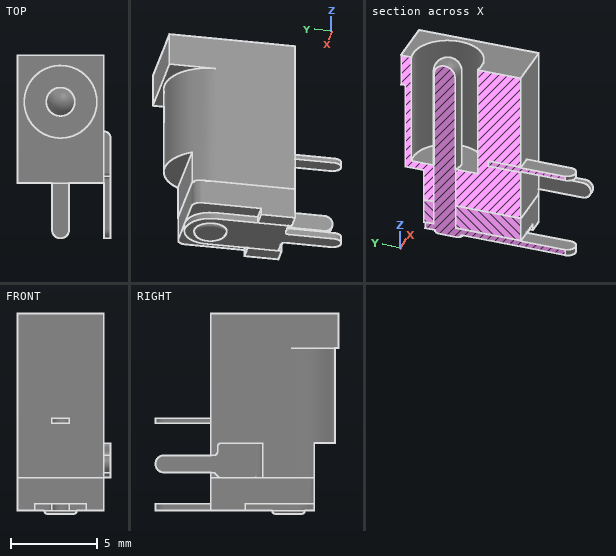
import cadquery as cq


WIDTH = 5.0
SIDE_X = WIDTH / 2
FRONT_Y = -4.7
BACK_Y = 2.7
TOP_Z = 11.4
COLLAR_HEIGHT = 2.0
COLLAR_Z = TOP_Z - COLLAR_HEIGHT
BARREL_RADIUS = WIDTH / 2
BARREL_STEP_Z = 3.9
BORE_RADIUS = 2.1
BORE_FLOOR_THICKNESS = 0.5
BORE_FLOOR_Z = BARREL_STEP_Z + BORE_FLOOR_THICKNESS

BASE_HEIGHT = 1.9
BASE_BACK_Y = 1.3
BASE_CORNER_RADIUS = 0.5
RECESS_FRONT_Y = -2.7

TAIL_WIDTH = 1.0
TAIL_TIP_RADIUS = TAIL_WIDTH / 2
TAIL_LENGTH = 3.2
TAIL_TIP_Y = FRONT_Y - TAIL_LENGTH
TAIL_FILLET = 0.2
SHEET_THICKNESS = 0.4

PIN_RADIUS = 0.825
PLATE_RADIUS = 1.5
PLATE_WIDTH = 2 * PLATE_RADIUS
PLATE_CENTER_Y = BASE_BACK_Y - PLATE_RADIUS
PLATE_FRONT_Y = FRONT_Y + TAIL_FILLET
RIVET_RADIUS = 0.95
RIVET_HEIGHT = 0.2

SLEEVE_TOP_Z = BARREL_STEP_Z
SLEEVE_BOTTOM_Z = BASE_HEIGHT
SLEEVE_BACK_Y = -1.7
SLEEVE_FRONT_Y = -4.3
SLEEVE_CORNER_RADIUS = 0.2
SLEEVE_TAIL_CENTER_Z = 2.7
SLEEVE_TAIL_TOP_Z = SLEEVE_TAIL_CENTER_Z + TAIL_WIDTH / 2
SLEEVE_TAIL_BOTTOM_Z = SLEEVE_TAIL_CENTER_Z - TAIL_WIDTH / 2
SLEEVE_CHAMFER = SLEEVE_TAIL_BOTTOM_Z - SLEEVE_BOTTOM_Z
SLEEVE_LEG_LENGTH = 1.0

SWITCH_THICKNESS = 0.3
SWITCH_BOTTOM_Z = 5.05
SWITCH_INSERTION = 2.0


def block(x_range, y_range, z_range):
    """Box spanning the given (low, high) ranges."""
    size = [high - low for low, high in (x_range, y_range, z_range)]
    corner = (x_range[0], y_range[0], z_range[0])
    return cq.Workplane("XY").box(*size, centered=False).translate(corner)


def cylinder(radius, bottom_z, top_z, center_y=0.0):
    """Upright cylinder on the X = 0 plane."""
    return cq.Workplane("XY", origin=(0, center_y, bottom_z)).circle(radius).extrude(top_z - bottom_z)


def flat_tail(root_y, bottom_z, thickness):
    """Horizontal strip from root_y to a round tip beyond the front face."""
    half_width = TAIL_WIDTH / 2
    tip_center_y = TAIL_TIP_Y + TAIL_TIP_RADIUS
    return (
        cq.Workplane("XY", origin=(0, 0, bottom_z))
        .moveTo(half_width, root_y)
        .lineTo(half_width, tip_center_y)
        .threePointArc((0, TAIL_TIP_Y), (-half_width, tip_center_y))
        .lineTo(-half_width, root_y)
        .close()
        .extrude(thickness)
    )


def make_switch_terminal():
    return flat_tail(FRONT_Y + SWITCH_INSERTION, SWITCH_BOTTOM_Z, SWITCH_THICKNESS)


def make_sleeve_terminal():
    tip_center_y = TAIL_TIP_Y + TAIL_TIP_RADIUS
    blade = (
        cq.Workplane("YZ", origin=(SIDE_X, 0, 0))
        .moveTo(SLEEVE_BACK_Y - SHEET_THICKNESS, SLEEVE_TOP_Z)
        .lineTo(SLEEVE_FRONT_Y + SLEEVE_CORNER_RADIUS, SLEEVE_TOP_Z)
        .radiusArc((SLEEVE_FRONT_Y, SLEEVE_TOP_Z - SLEEVE_CORNER_RADIUS), -SLEEVE_CORNER_RADIUS)
        .lineTo(SLEEVE_FRONT_Y, SLEEVE_TAIL_TOP_Z + TAIL_FILLET)
        .radiusArc((SLEEVE_FRONT_Y - TAIL_FILLET, SLEEVE_TAIL_TOP_Z), TAIL_FILLET)
        .lineTo(tip_center_y, SLEEVE_TAIL_TOP_Z)
        .threePointArc((TAIL_TIP_Y, SLEEVE_TAIL_CENTER_Z), (tip_center_y, SLEEVE_TAIL_BOTTOM_Z))
        .lineTo(SLEEVE_FRONT_Y - TAIL_FILLET, SLEEVE_TAIL_BOTTOM_Z)
        .lineTo(SLEEVE_FRONT_Y - TAIL_FILLET + SLEEVE_CHAMFER, SLEEVE_BOTTOM_Z)
        .lineTo(SLEEVE_BACK_Y - SHEET_THICKNESS, SLEEVE_BOTTOM_Z)
        .close()
        .extrude(SHEET_THICKNESS)
    )
    bend_center_y = SLEEVE_BACK_Y - SHEET_THICKNESS
    leg = (
        cq.Workplane("XY", origin=(0, 0, SLEEVE_BOTTOM_Z))
        .moveTo(SIDE_X - SLEEVE_LEG_LENGTH, bend_center_y)
        .lineTo(SIDE_X + SHEET_THICKNESS, bend_center_y)
        .radiusArc((SIDE_X, SLEEVE_BACK_Y), -SHEET_THICKNESS)
        .lineTo(SIDE_X - SLEEVE_LEG_LENGTH, SLEEVE_BACK_Y)
        .close()
        .extrude(SLEEVE_TOP_Z - SLEEVE_BOTTOM_Z)
    )
    return blade.union(leg)


def make_center_contact():
    plate = cylinder(PLATE_RADIUS, 0, SHEET_THICKNESS, PLATE_CENTER_Y).union(
        block((-PLATE_RADIUS, PLATE_RADIUS), (PLATE_FRONT_Y, PLATE_CENTER_Y), (0, SHEET_THICKNESS))
    )
    plate = plate.union(flat_tail(PLATE_CENTER_Y, 0, SHEET_THICKNESS))
    for side in (-1, 1):
        root = cq.selectors.NearestToPointSelector((side * TAIL_WIDTH / 2, PLATE_FRONT_Y, 0))
        plate = plate.edges("|Z").edges(root).fillet(TAIL_FILLET)
    rivet = (
        cq.Workplane("XZ", origin=(0, PLATE_CENTER_Y, 0))
        .lineTo(RIVET_RADIUS, 0)
        .radiusArc((RIVET_RADIUS - RIVET_HEIGHT, -RIVET_HEIGHT), RIVET_HEIGHT)
        .lineTo(0, -RIVET_HEIGHT)
        .close()
        .revolve(360, (0, 0, 0), (0, 1, 0))
    )
    tip_center_z = TOP_Z - PIN_RADIUS
    pin = cylinder(PIN_RADIUS, 0, tip_center_z)
    pin = pin.union(cq.Workplane("XY", origin=(0, 0, tip_center_z)).sphere(PIN_RADIUS))
    return plate.union(rivet).union(pin)


def make_base(center_contact):
    side = (-SIDE_X, SIDE_X)
    base = block(side, (FRONT_Y, BASE_BACK_Y), (0, BASE_HEIGHT))
    base = base.edges("|Z and >Y").fillet(BASE_CORNER_RADIUS)
    recess = block(side, (RECESS_FRONT_Y, BASE_BACK_Y), (0, SHEET_THICKNESS)).union(
        block((-PLATE_WIDTH / 2, PLATE_WIDTH / 2), (FRONT_Y, RECESS_FRONT_Y), (0, SHEET_THICKNESS))
    )
    return base.cut(recess).cut(center_contact)


def make_housing(center_contact, sleeve_terminal, switch_terminal):
    side = (-SIDE_X, SIDE_X)
    body = block(side, (FRONT_Y, 0), (BASE_HEIGHT, TOP_Z))
    barrel = cylinder(BARREL_RADIUS, BASE_HEIGHT, TOP_Z)
    step = block(side, (BASE_BACK_Y, BACK_Y), (BASE_HEIGHT, BARREL_STEP_Z))
    collar = block(side, (FRONT_Y, BACK_Y), (COLLAR_Z, TOP_Z))
    body = body.union(barrel.cut(step)).union(collar)
    body = body.cut(cylinder(BORE_RADIUS, BORE_FLOOR_Z, TOP_Z))
    for contact in (center_contact, sleeve_terminal, switch_terminal):
        body = body.cut(contact)
    return body


switch_terminal = make_switch_terminal()
sleeve_terminal = make_sleeve_terminal()
center_contact = make_center_contact()
base = make_base(center_contact)
housing = make_housing(center_contact, sleeve_terminal, switch_terminal)

result = cq.Compound.makeCompound(
    [housing.val(), base.val(), center_contact.val(), sleeve_terminal.val(), switch_terminal.val()]
)